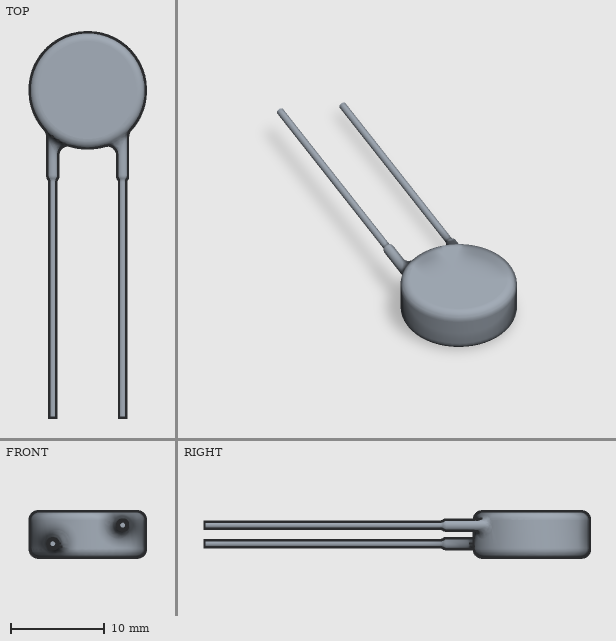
import cadquery as cq

body_diameter = 12.5
body_thickness = 5.0
body_edge_radius = 1.0

overall_length = 41.4
lead_pitch = 7.5
lead_height_offset = 1.0
wire_diameter = 0.8

coating_diameter = 1.2
coating_end_y = -9.2
coating_taper_length = 0.62
coating_blend_radius = 1.0

body_radius = body_diameter / 2
wire_radius = wire_diameter / 2
coating_radius = coating_diameter / 2
wire_tip_y = body_radius - overall_length
taper_end_y = coating_end_y - coating_taper_length
taper_middle_y = (coating_end_y + taper_end_y) / 2
taper_middle_radius = (coating_radius + wire_radius) / 2
taper_drop = coating_radius - wire_radius
taper_arc_radius = (coating_taper_length**2 + taper_drop**2) / (4 * taper_drop)
coating_root_y = -body_radius / 2

lead_positions = [(side * lead_pitch / 2, side * lead_height_offset) for side in (-1, 1)]


def make_body():
    """Round disc with both rims rounded."""
    disc = cq.Workplane("XY", origin=(0, 0, -body_thickness / 2)).circle(body_radius).extrude(body_thickness)
    return disc.faces("|Z").edges().fillet(body_edge_radius)


def make_coating(x, z):
    """Cylindrical sleeve from inside the body to the start of its taper."""
    start = cq.Workplane("XZ", origin=(x, coating_root_y, z))
    return start.circle(coating_radius).extrude(coating_root_y - coating_end_y)


def make_wire(x, z):
    """Tapered end of the coating followed by the bare wire to its tip."""
    half_profile = (
        cq.Workplane("XY")
        .moveTo(0, coating_end_y)
        .lineTo(coating_radius, coating_end_y)
        .radiusArc((taper_middle_radius, taper_middle_y), taper_arc_radius)
        .radiusArc((wire_radius, taper_end_y), -taper_arc_radius)
        .lineTo(wire_radius, wire_tip_y)
        .lineTo(0, wire_tip_y)
        .close()
    )
    return half_profile.revolve(360, (0, 0, 0), (0, 1, 0)).translate((x, 0, z))


def blend_coatings(part):
    """Fillet the curved joint lines where the coatings enter the body."""
    return part.edges("%BSPLINE").fillet(coating_blend_radius)


result = make_body()
for x, z in lead_positions:
    result = result.union(make_coating(x, z))
result = blend_coatings(result)
for x, z in lead_positions:
    result = result.union(make_wire(x, z))